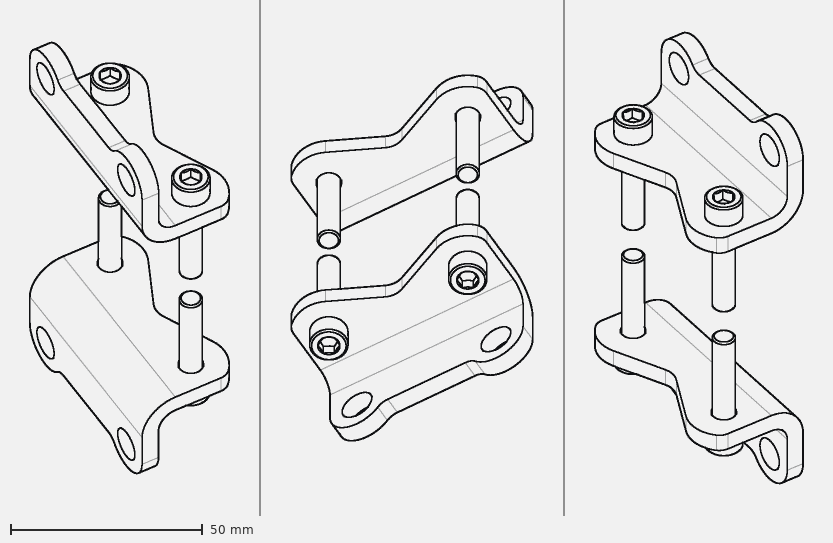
import cadquery as cq
import math

overall_height = 116.5
bracket_gap = 60.0
width = 58.5
depth = 29.5
hole_spacing = 42.0

thickness = 5.0
bend_inner_radius = thickness
bend_outer_radius = bend_inner_radius + thickness

mount_hole_diameter = 9.0
ear_radius = (width - hole_spacing) / 2
ear_height_above_edge = 4.3
ear_blend_radius = 4.0

screw_hole_diameter = 6.6
foot_lobe_radius = 10.0
foot_corner_radius = 4.0
valley_slope = math.radians(25)
valley_radius = 5.9

screw_diameter = 6.0
screw_length = 30.0
screw_tip_chamfer = 0.5
head_diameter = 10.0
head_height = 5.9
head_chamfer = 0.5
socket_across_flats = 5.0
socket_depth = 3.0
socket_tip_angle = math.radians(120)

half_width = width / 2
hole_x = hole_spacing / 2
foot_z = bracket_gap / 2
top_z = overall_height / 2
mount_hole_z = top_z - ear_radius
screw_y = depth - foot_lobe_radius
head_seat_z = foot_z + thickness


def polar(center, radius, angle):
    """Point at an angle on a circle."""
    return (center[0] + radius * math.cos(angle), center[1] + radius * math.sin(angle))


def add_arc(sketch, center, radius, start_angle, end_angle):
    """Continue an outline along a circle, from its point at start_angle to that at end_angle."""
    middle = polar(center, radius, (start_angle + end_angle) / 2)
    return sketch.threePointArc(middle, polar(center, radius, end_angle))


def make_bent_sheet():
    """L-shaped sheet with concentric bend radii, extruded along the full width."""
    bend_center = (bend_outer_radius, foot_z + bend_outer_radius)
    profile = (
        cq.Workplane("YZ", origin=(-half_width, 0, 0))
        .moveTo(0, top_z)
        .lineTo(0, bend_center[1])
    )
    profile = add_arc(profile, bend_center, bend_outer_radius, math.pi, 1.5 * math.pi)
    profile = profile.lineTo(depth, foot_z).lineTo(depth, head_seat_z).lineTo(bend_center[0], head_seat_z)
    profile = add_arc(profile, bend_center, bend_inner_radius, 1.5 * math.pi, math.pi)
    return profile.lineTo(thickness, top_z).close().extrude(width)


def make_flange_envelope():
    """Flange outline in XZ: two round ears joined by a lower straight edge."""
    ear_center = (hole_x, mount_hole_z)
    edge_z = top_z - ear_height_above_edge
    blend_z = edge_z + ear_blend_radius
    center_distance = ear_radius + ear_blend_radius
    blend_offset = math.sqrt(center_distance**2 - (blend_z - mount_hole_z) ** 2)
    blend_center = (hole_x - blend_offset, blend_z)
    tangent_angle = math.atan2(blend_z - mount_hole_z, -blend_offset)

    outline = (
        cq.Workplane("XZ")
        .moveTo(0, foot_z)
        .lineTo(half_width, foot_z)
        .lineTo(half_width, mount_hole_z)
    )
    outline = add_arc(outline, ear_center, ear_radius, 0, tangent_angle)
    outline = add_arc(outline, blend_center, ear_blend_radius, tangent_angle - math.pi, -math.pi / 2)
    return outline.lineTo(0, edge_z).mirrorY().extrude(-depth)


def make_foot_envelope():
    """Foot outline in XY: two lobes around the screws with a V-shaped valley between them."""
    lobe_center = (hole_x, screw_y)
    corner_x = half_width - foot_corner_radius
    corner_offset = math.sqrt((foot_lobe_radius - foot_corner_radius) ** 2 - (corner_x - hole_x) ** 2)
    corner_center = (corner_x, screw_y + corner_offset)
    corner_angle = math.atan2(corner_offset, corner_x - hole_x)
    slope_angle = math.pi / 2 + valley_slope
    apex_y = screw_y + foot_lobe_radius / math.cos(valley_slope) - hole_x * math.tan(valley_slope)
    valley_center = (0, apex_y + valley_radius / math.cos(valley_slope))
    valley_start_angle = slope_angle - math.pi

    outline = (
        cq.Workplane("XY")
        .lineTo(half_width, 0)
        .lineTo(half_width, corner_center[1])
    )
    outline = add_arc(outline, corner_center, foot_corner_radius, 0, corner_angle)
    outline = add_arc(outline, lobe_center, foot_lobe_radius, corner_angle, slope_angle)
    outline = outline.lineTo(*polar(valley_center, valley_radius, valley_start_angle))
    outline = add_arc(outline, valley_center, valley_radius, valley_start_angle, -math.pi / 2)
    return outline.mirrorY().extrude(top_z)


def make_bracket():
    """Upper bracket: bent sheet trimmed to both outlines, with mounting and screw holes."""
    mount_holes = (
        cq.Workplane("XZ")
        .pushPoints([(-hole_x, mount_hole_z), (hole_x, mount_hole_z)])
        .circle(mount_hole_diameter / 2)
        .extrude(-thickness)
    )
    screw_holes = (
        cq.Workplane("XY", origin=(0, 0, foot_z))
        .pushPoints([(-hole_x, screw_y), (hole_x, screw_y)])
        .circle(screw_hole_diameter / 2)
        .extrude(thickness)
    )
    sheet = make_bent_sheet().intersect(make_flange_envelope()).intersect(make_foot_envelope())
    return sheet.cut(mount_holes).cut(screw_holes)


def make_socket():
    """Hexagonal socket with a conical bottom and a conical mouth; the head top lies at the XY plane."""
    across_corners = socket_across_flats / math.cos(math.pi / 6)
    tip_depth = across_corners / 2 / math.tan(socket_tip_angle / 2)
    mouth_radius = across_corners / 2
    bottom_z = -socket_depth - tip_depth

    hexagon = (
        cq.Workplane("XY", origin=(0, 0, bottom_z))
        .transformed(rotate=(0, 0, 90))
        .polygon(6, across_corners)
        .extrude(-bottom_z)
    )
    drill_tip = (
        cq.Workplane("XZ")
        .moveTo(0, bottom_z)
        .lineTo(across_corners / 2, -socket_depth)
        .lineTo(across_corners / 2, 0)
        .lineTo(0, 0)
        .close()
        .revolve(360, (0, 0), (0, 1))
    )
    mouth = (
        cq.Workplane("XZ")
        .lineTo(mouth_radius, 0)
        .lineTo(0, -mouth_radius)
        .close()
        .revolve(360, (0, 0), (0, 1))
    )
    return hexagon.intersect(drill_tip).union(mouth)


def make_screw(x):
    """Upper screw at the given X, pointing down, with its head seated on the bracket foot."""
    shank = (
        cq.Workplane("XY")
        .circle(screw_diameter / 2)
        .extrude(-screw_length)
        .faces("<Z")
        .chamfer(screw_tip_chamfer)
    )
    head = (
        cq.Workplane("XY")
        .circle(head_diameter / 2)
        .extrude(head_height)
        .faces(">Z")
        .chamfer(head_chamfer)
    )
    socket = make_socket().translate((0, 0, head_height))
    return shank.union(head).cut(socket).translate((x, screw_y, head_seat_z))


upper_bracket = make_bracket()
upper_screws = [make_screw(x) for x in (-hole_x, hole_x)]

bodies = []
for upper_body in [upper_bracket, *upper_screws]:
    bodies.append(upper_body.val())
    bodies.append(upper_body.mirror("XY").val())

result = cq.Compound.makeCompound(bodies)